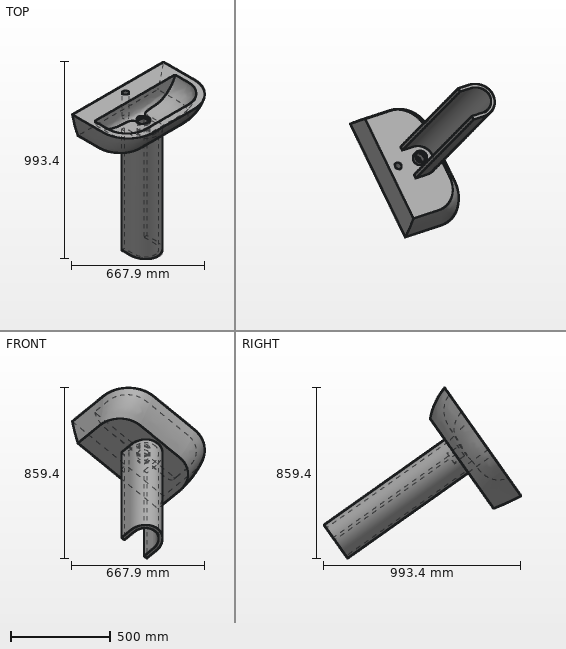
import cadquery as cq
import math


basin_width = 650.0
basin_depth = 400.0
basin_height = 150.0
rim_corner_radius = 180.0
waist_drop = 80.0
waist_side_inset = 18.0
waist_front_inset = 41.0
waist_corner_radius = 158.0
base_side_inset = 40.0
base_front_inset = 100.0
base_corner_radius = 145.0
center_x = basin_width / 2

bowl_side_margin = 38.0
bowl_front_margin = 48.0
bowl_back_y = -120.0
bowl_floor_z = -106.0
back_wall_foot_y = -163.0
back_wall_top_direction = (-0.1, -1)
back_wall_foot_direction = (-1, -0.05)
bowl_corner_radius = 137.0
bowl_rear_corner_radius = 8.0
dish_levels = [(0, 0), (0.06, -36), (0.21, -74), (0.44, -95), (0.88, bowl_floor_z)]
bowl_width = basin_width - 2 * bowl_side_margin
bowl_front_y = bowl_front_margin - basin_depth

tap_hole_diameter = 36.0
tap_hole_y = -55.0
drain_y = -182.0
drain_recess_diameter = 70.0
drain_recess_depth = 10.0
drain_hole_diameter = 57.0
tail_pipe_diameter = 66.0
tail_pipe_length = 30.0

pedestal_height = 745.0
pedestal_half_width = 90.0
pedestal_nose = 101.0
pedestal_wall = 20.0
pedestal_arc_y = -183.0
pedestal_back_y = -116.0


def d_outline(z, side_inset, front_inset, corner_radius):
    """D-shaped outline: straight along the wall, rounded at both front corners."""
    left = side_inset
    right = basin_width - side_inset
    front = front_inset - basin_depth
    bulge = corner_radius * (1 - math.sqrt(0.5))
    return (
        cq.Workplane("XY", origin=(0, 0, z))
        .moveTo(left, 0)
        .lineTo(left, front + corner_radius)
        .threePointArc((left + bulge, front + bulge), (left + corner_radius, front))
        .lineTo(right - corner_radius, front)
        .threePointArc((right - bulge, front + bulge), (right, front + corner_radius))
        .lineTo(right, 0)
        .close()
        .val()
    )


def make_shell():
    """Solid outer form, narrowing along a curve from the rim to the flat base."""
    rim = d_outline(0, 0, 0, rim_corner_radius)
    waist = d_outline(-waist_drop, waist_side_inset, waist_front_inset, waist_corner_radius)
    base = d_outline(-basin_height, base_side_inset, base_front_inset, base_corner_radius)
    return cq.Workplane(cq.Solid.makeLoft([rim, waist, base]))


def make_bowl():
    """Bowl cavity: a dish with a rounded floor, cut off behind by a curved back wall."""
    levels = [
        d_outline(
            z,
            bowl_side_margin + share * bowl_width / 2,
            bowl_front_margin + share * (drain_y - bowl_front_y),
            bowl_corner_radius * (1 - share),
        )
        for share, z in dish_levels
    ]
    dish = cq.Workplane(cq.Solid.makeLoft(levels))
    opening = (
        cq.Workplane("XY")
        .center(center_x, (bowl_back_y + bowl_front_y) / 2)
        .rect(bowl_width, bowl_back_y - bowl_front_y)
        .extrude(bowl_floor_z)
        .edges("|Z and >Y")
        .fillet(bowl_rear_corner_radius)
    )
    back_wall = (
        cq.Workplane("YZ")
        .moveTo(bowl_front_y, 0)
        .lineTo(bowl_back_y, 0)
        .spline(
            [(back_wall_foot_y, bowl_floor_z)],
            tangents=[back_wall_top_direction, back_wall_foot_direction],
            includeCurrent=True,
        )
        .lineTo(bowl_front_y, bowl_floor_z)
        .close()
        .extrude(basin_width)
    )
    return dish.intersect(opening).intersect(back_wall)


def cylinder(y, diameter, top_z, bottom_z):
    """Upright cylinder on the centre line of the basin."""
    return (
        cq.Workplane("XY", origin=(center_x, y, bottom_z))
        .circle(diameter / 2)
        .extrude(top_z - bottom_z)
    )


def make_basin():
    recess_z = bowl_floor_z - drain_recess_depth
    recess_top_z = bowl_floor_z + drain_recess_depth
    pipe_end_z = -basin_height - tail_pipe_length
    return (
        make_shell()
        .cut(make_bowl())
        .union(cylinder(drain_y, tail_pipe_diameter, recess_z, pipe_end_z))
        .cut(cylinder(drain_y, drain_recess_diameter, recess_top_z, recess_z))
        .cut(cylinder(drain_y, drain_hole_diameter, recess_z, pipe_end_z))
        .cut(cylinder(tap_hole_y, tap_hole_diameter, 0, -basin_height))
    )


def make_pedestal():
    """U-shaped column with an elliptical front, open towards the wall, under the basin base."""
    inner_half_width = pedestal_half_width - pedestal_wall
    inner_nose = pedestal_nose - pedestal_wall
    return (
        cq.Workplane("XY", origin=(center_x, 0, -basin_height))
        .moveTo(-pedestal_half_width, pedestal_back_y)
        .lineTo(-pedestal_half_width, pedestal_arc_y)
        .ellipseArc(pedestal_half_width, pedestal_nose, 180, 270, sense=1)
        .ellipseArc(pedestal_half_width, pedestal_nose, 270, 360, sense=1)
        .lineTo(pedestal_half_width, pedestal_back_y)
        .lineTo(inner_half_width, pedestal_back_y)
        .lineTo(inner_half_width, pedestal_arc_y)
        .ellipseArc(inner_half_width, inner_nose, 180, 360, sense=-1)
        .lineTo(-inner_half_width, pedestal_back_y)
        .close()
        .extrude(-pedestal_height)
    )


tilted_frame = cq.Plane(
    origin=(0, 0, 0),
    xDir=(1 / math.sqrt(2), 1 / math.sqrt(6), -1 / math.sqrt(3)),
    normal=(0, math.sqrt(2 / 3), 1 / math.sqrt(3)),
)

basin = make_basin().val().moved(cq.Location(tilted_frame))
pedestal = make_pedestal().val().moved(cq.Location(tilted_frame))

result = cq.Compound.makeCompound([basin, pedestal])